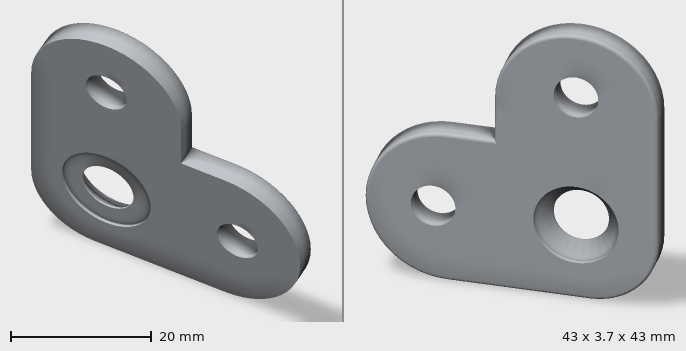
import cadquery as cq
import math

overall_size = 43
thickness = 3.7
lobe_radius = 12.0
corner_radius = 10.0
lobe_hole_diameter = 6.55
pivot_hole_diameter = 8.15
recess_diameter = 14.2
recess_depth = 0.5
rear_edge_radius = 0.5
lobe_hole_distance = 21.0
countersink_diameter = 12.5
lip_thickness = 0.3

arm_length = overall_size - 2 * lobe_radius
corner_tangent = corner_radius - lobe_radius
diagonal_step = corner_radius * math.sqrt(0.5)


def make_plate():
    """Heart-shaped plate: one lobe up +Z and one along +X, with a rounded outer corner."""
    outline = (
        cq.Workplane("XZ")
        .moveTo(-lobe_radius, corner_tangent)
        .lineTo(-lobe_radius, arm_length)
        .threePointArc((0, arm_length + lobe_radius), (lobe_radius, arm_length))
        .lineTo(lobe_radius, lobe_radius)
        .lineTo(arm_length, lobe_radius)
        .threePointArc((arm_length + lobe_radius, 0), (arm_length, -lobe_radius))
        .lineTo(corner_tangent, -lobe_radius)
        .threePointArc(
            (corner_tangent - diagonal_step, corner_tangent - diagonal_step),
            (-lobe_radius, corner_tangent),
        )
        .close()
    )
    return outline.extrude(-thickness).faces(">Y").edges().fillet(rear_edge_radius)


def make_bore(x, z, diameter, depth):
    """Cylinder running rearwards from the front face."""
    return cq.Workplane("XZ", origin=(x, 0, z)).circle(diameter / 2).extrude(-depth)


def make_countersink():
    """90 degree cone opening rearwards from the pivot hole lip, then a straight bore to the rear face."""
    pivot_radius = pivot_hole_diameter / 2
    countersink_radius = countersink_diameter / 2
    cone_start = recess_depth + lip_thickness
    cone_end = cone_start + countersink_radius - pivot_radius
    profile = (
        cq.Workplane("XY")
        .moveTo(0, cone_start)
        .lineTo(pivot_radius, cone_start)
        .lineTo(countersink_radius, cone_end)
        .lineTo(countersink_radius, thickness)
        .lineTo(0, thickness)
        .close()
    )
    return profile.revolve(360, (0, 0, 0), (0, 1, 0))


result = make_plate()

for x, z in [(0, lobe_hole_distance), (lobe_hole_distance, 0)]:
    result = result.cut(make_bore(x, z, lobe_hole_diameter, thickness))

result = result.cut(make_bore(0, 0, pivot_hole_diameter, thickness))
result = result.cut(make_bore(0, 0, recess_diameter, recess_depth))
result = result.cut(make_countersink())